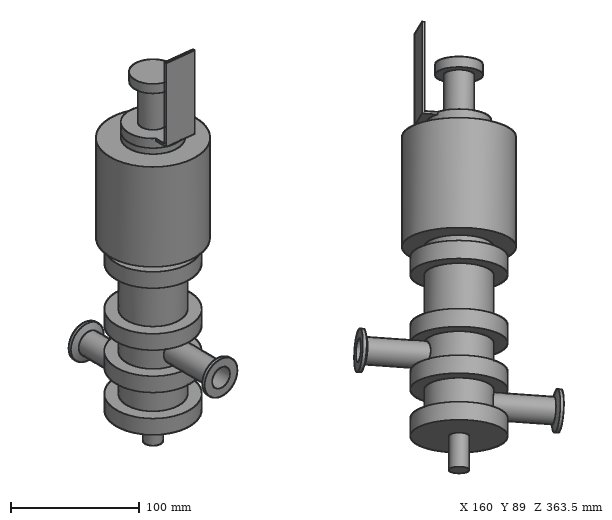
import cadquery as cq

total_height = 363.5
spindle_diameter = 16.0
spindle_length = 28.0

body_diameter = 54.0
collar_diameter = 76.0
collar_height = 15.0
chamber_pitch = 38.5
top_collar_bottom = 161.5
lower_collar_bottoms = [spindle_length + i * chamber_pitch for i in range(3)]
collar_bottoms = lower_collar_bottoms + [top_collar_bottom]

actuator_diameter = 89.0
actuator_bottom = 184.5
actuator_top = 275.5
neck_diameter = 50.0
neck_top = 281.0

port_reach = 80.0
pipe_diameter = 21.8
bore_diameter = 18.5
ferrule_diameter = 34.0
ferrule_rim = 3.0
ferrule_length = 5.0
gap_center = (collar_height + chamber_pitch) / 2
left_port_height = lower_collar_bottoms[0] + gap_center
right_port_height = lower_collar_bottoms[1] + gap_center

hub_top = 289.5
stem_diameter = 24.0
knob_diameter = 37.5
knob_bottom = 326.7
knob_top = 335.5
plate_thickness = 2.0
plate_width = 29.8
plate_outer_x = 32.5


def disc(diameter, bottom, top):
    """Upright cylinder on the main axis between two heights."""
    return cq.Workplane("XY").workplane(offset=bottom).circle(diameter / 2).extrude(top - bottom)


def port_outside(side, height):
    """Pipe with a coned ferrule, turned about a horizontal axis; side is -1 or +1 along X."""
    pipe_radius = pipe_diameter / 2
    ferrule_radius = ferrule_diameter / 2
    outline = [
        (0, 0),
        (0, pipe_radius),
        (side * (port_reach - ferrule_length), pipe_radius),
        (side * (port_reach - ferrule_rim), ferrule_radius),
        (side * port_reach, ferrule_radius),
        (side * port_reach, 0),
    ]
    profile = cq.Workplane("XZ").polyline(outline).close()
    return profile.revolve(360, (0, 0), (1, 0)).translate((0, 0, height))


def port_bore(side, height):
    """Round passage along a port, from the main axis to the ferrule face."""
    bore = cq.Workplane("YZ").circle(bore_diameter / 2).extrude(side * port_reach)
    return bore.translate((0, 0, height))


def make_valve():
    column = disc(body_diameter, spindle_length, actuator_bottom)
    valve = column
    for side, height in [(-1, left_port_height), (1, right_port_height)]:
        port = port_outside(side, height).cut(port_bore(side, height))
        valve = valve.union(port.cut(column))
    for bottom in collar_bottoms:
        valve = valve.union(disc(collar_diameter, bottom, bottom + collar_height))
    valve = valve.union(disc(spindle_diameter, 0, spindle_length))
    valve = valve.union(disc(actuator_diameter, actuator_bottom, actuator_top))
    return valve.union(disc(neck_diameter, actuator_top, neck_top))


def bent_plate():
    """L-shaped strip that runs out from the hub top and turns up to full height."""
    plate_inner_x = plate_outer_x - plate_thickness
    plate_bottom = hub_top - plate_thickness
    outline = [
        (0, plate_bottom),
        (plate_outer_x, plate_bottom),
        (plate_outer_x, total_height),
        (plate_inner_x, total_height),
        (plate_inner_x, hub_top),
        (0, hub_top),
    ]
    return cq.Workplane("XZ").polyline(outline).close().extrude(plate_width / 2, both=True)


def make_indicator():
    hub = disc(neck_diameter, neck_top, hub_top)
    stem = disc(stem_diameter, hub_top, knob_bottom)
    knob = disc(knob_diameter, knob_bottom, knob_top)
    return hub.union(stem).union(knob).union(bent_plate())


valve_body = make_valve()
indicator = make_indicator()
result = cq.Compound.makeCompound([valve_body.val(), indicator.val()])